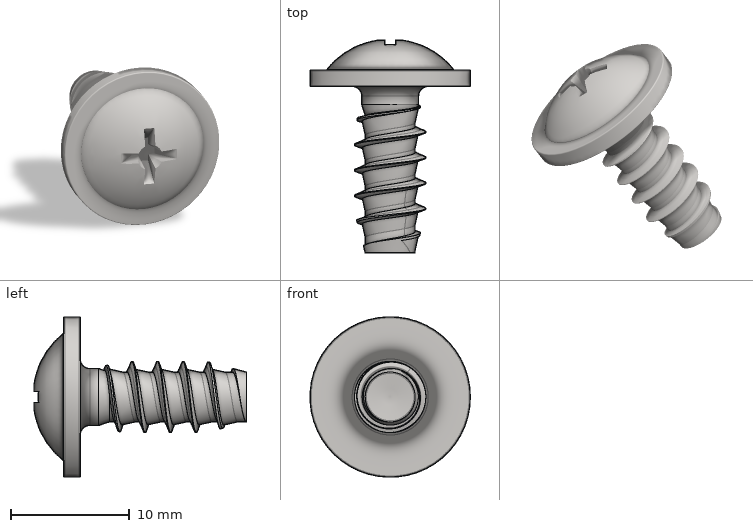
import cadquery as cq
import math


flange_radius = 6.75
flange_thickness = 1.4
flange_edge_radius = 0.1
dome_radius = 5.33
dome_step = 0.05
head_height = 4.0

recess_reach = 2.8
recess_core_radius = 1.11
recess_bottom_radius = 0.6
recess_depth = 2.4
wing_width = 0.9
wing_foot_reach = 1.0

shank_length = 14.0
neck_radius = 2.4
neck_fillet = 0.8
neck_end = 1.53
core_radius = 2.1
tip_dimple_radius = 2.0
tip_dimple_depth = 0.25

major_radius = 3.0
runin_start_radius = 2.5
runin_end_depth = 3.6
runout_start_depth = 10.6
lead_in_end = 2.45

pitch = 2.15
first_top_crest_depth = 2.21
groove_top_radius = 3.05
crest_clearance = 0.015
ramp_top_offset = 0.26
ramp_top_radius = 2.34
ramp_foot_offset = 1.36
root_end_gap = 0.43
kink_gap = 0.22
kink_radius = 2.53
thin_ramp_top_offset = 0.06
thin_ramp_top_radius = 2.4
thin_root_end_gap = 0.04
thin_kink_gap = 0.03
thin_kink_radius = 2.3
points_per_turn = 16
groove_lead_turns = 1.25


def revolve_about_y(profile):
    return profile.close().revolve(360, (0, 0, 0), (0, 1, 0))


def make_flange():
    flange = cq.Workplane("XZ").circle(flange_radius).extrude(-flange_thickness)
    return flange.edges().fillet(flange_edge_radius)


def make_dome():
    base = flange_thickness + dome_step
    rise = head_height - base
    sphere_radius = (dome_radius**2 + rise**2) / (2 * rise)
    mid_radius = dome_radius / 2
    mid_height = head_height - sphere_radius + math.sqrt(sphere_radius**2 - mid_radius**2)
    return revolve_about_y(
        cq.Workplane("XY")
        .moveTo(0, flange_thickness / 2)
        .lineTo(dome_radius, flange_thickness / 2)
        .lineTo(dome_radius, base)
        .threePointArc((mid_radius, mid_height), (0, head_height))
    )


def make_recess():
    """Tapered core with four tapered wings."""
    floor = head_height - recess_depth
    core = revolve_about_y(
        cq.Workplane("XY")
        .moveTo(0, floor)
        .lineTo(recess_bottom_radius, floor)
        .lineTo(recess_core_radius, head_height)
        .lineTo(0, head_height)
    )
    wing = (
        cq.Workplane("XY")
        .moveTo(-wing_foot_reach, floor)
        .lineTo(wing_foot_reach, floor)
        .lineTo(recess_reach, head_height)
        .lineTo(-recess_reach, head_height)
        .close()
        .extrude(wing_width / 2, both=True)
    )
    return core.union(wing).union(wing.rotate((0, 0, 0), (0, 1, 0), 90))


def make_shank_blank():
    arc_mid = neck_fillet * (1 - math.sqrt(0.5))
    return revolve_about_y(
        cq.Workplane("XY")
        .moveTo(0, flange_thickness / 2)
        .lineTo(neck_radius + neck_fillet, flange_thickness / 2)
        .lineTo(neck_radius + neck_fillet, 0)
        .threePointArc((neck_radius + arc_mid, -arc_mid), (neck_radius, -neck_fillet))
        .lineTo(neck_radius, -neck_end)
        .lineTo(runin_start_radius, -neck_end)
        .lineTo(major_radius, -runin_end_depth)
        .lineTo(major_radius, -runout_start_depth)
        .lineTo(core_radius, -shank_length)
        .lineTo(0, -shank_length)
    )


def thread_fullness(depth):
    """1 where the thread is fully formed, falling to 0 at the neck and at the tip."""
    runin = (depth - neck_end) / (runin_end_depth - neck_end)
    runout = (shank_length - depth) / (shank_length - runout_start_depth)
    return max(0, min(1, runin, runout))


def groove_section(depth):
    """Corners of the groove as (offset from the crest at this depth, radius)."""
    this_turn = thread_fullness(depth)
    next_turn = thread_fullness(depth + pitch)

    def blend(thin, full, fullness):
        return thin + (full - thin) * fullness

    return [
        (crest_clearance, groove_top_radius),
        (
            blend(thin_ramp_top_offset, ramp_top_offset, this_turn),
            blend(thin_ramp_top_radius, ramp_top_radius, this_turn),
        ),
        (ramp_foot_offset, core_radius),
        (pitch - blend(thin_root_end_gap, root_end_gap, next_turn), core_radius),
        (
            pitch - blend(thin_kink_gap, kink_gap, next_turn),
            blend(thin_kink_radius, kink_radius, next_turn),
        ),
        (pitch - crest_clearance, groove_top_radius),
    ]


def groove_corners(depth):
    angle = math.pi / 2 + 2 * math.pi * (depth - first_top_crest_depth) / pitch
    return [
        cq.Vector(radius * math.cos(angle), -depth - offset, radius * math.sin(angle))
        for offset, radius in groove_section(depth)
    ]


def groove_faces(start_depth, end_depth):
    """Ruled faces along one stretch of the right-handed groove between neighbouring crests."""
    steps = math.ceil((end_depth - start_depth) / pitch * points_per_turn)
    stations = [
        groove_corners(start_depth + (end_depth - start_depth) * step / steps)
        for step in range(steps + 1)
    ]
    rails = [cq.Edge.makeSpline(list(points)) for points in zip(*stations)]
    return [cq.Face.makeRuledSurface(a, b) for a, b in zip(rails, rails[1:] + rails[:1])]


def make_groove():
    """Groove in stretches that break where the thread height changes its rate."""
    limits = [
        neck_end - groove_lead_turns * pitch,
        neck_end,
        runin_end_depth,
        runout_start_depth - pitch,
        runout_start_depth,
        shank_length,
    ]
    faces = []
    for start_depth, end_depth in zip(limits, limits[1:]):
        faces += groove_faces(start_depth, end_depth)
    for depth in (limits[0], limits[-1]):
        faces.append(cq.Face.makeFromWires(cq.Wire.makePolygon(groove_corners(depth), close=True)))
    solid = cq.Solid.makeSolid(cq.Shell.makeShell(faces)).fix()
    return cq.Workplane("XY").newObject([solid])


def make_neck_guard():
    """Region above the thread, with the lead-in cone, that the groove must not enter."""
    guard_radius = 2 * major_radius
    guard_top = 2 * pitch
    return revolve_about_y(
        cq.Workplane("XY")
        .moveTo(0, guard_top)
        .lineTo(guard_radius, guard_top)
        .lineTo(guard_radius, -neck_end)
        .lineTo(neck_radius, -neck_end)
        .lineTo(core_radius, -lead_in_end)
        .lineTo(0, -lead_in_end)
    )


def make_tip_dimple():
    return revolve_about_y(
        cq.Workplane("XY")
        .moveTo(0, -shank_length)
        .lineTo(tip_dimple_radius, -shank_length)
        .lineTo(0, -shank_length + tip_dimple_depth)
    )


head = make_flange().union(make_dome()).cut(make_recess())
shank = make_shank_blank().cut(make_groove().cut(make_neck_guard()))
result = head.union(shank).cut(make_tip_dimple())